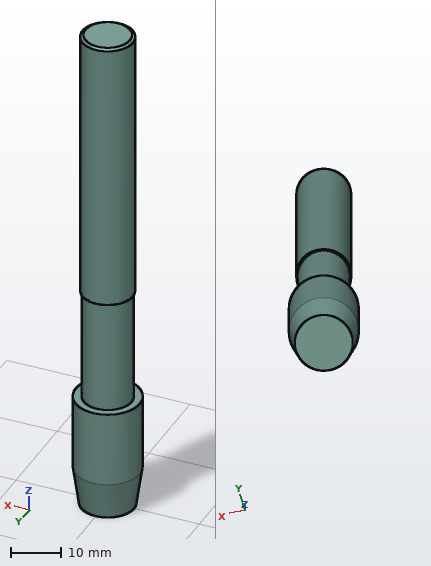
import cadquery as cq

TOTAL_LENGTH = 110.0

HEAD_DIAMETER = 14.0
HEAD_LENGTH = 25.0
LEAD_LENGTH = 8.5
LEAD_TIP_DIAMETER = 11.5

SHANK_DIAMETER = 11.0
SHANK_LENGTH = 60.2
NECK_DIAMETER = 10.5
TOP_CHAMFER_WIDTH = 0.7
TOP_CHAMFER_HEIGHT = 0.4

SHANK_BOTTOM = TOTAL_LENGTH - SHANK_LENGTH


def make_head():
    """Cylinder with a tapered lead at its lower end."""
    radius = HEAD_DIAMETER / 2
    profile = [
        (0, 0),
        (LEAD_TIP_DIAMETER / 2, 0),
        (radius, LEAD_LENGTH),
        (radius, HEAD_LENGTH),
        (0, HEAD_LENGTH),
    ]
    return cq.Workplane("XZ").polyline(profile).close().revolve(360, (0, 0, 0), (0, 1, 0))


def make_shank():
    """Chamfered shank on a slimmer neck that stands on the head."""
    neck_radius = NECK_DIAMETER / 2
    radius = SHANK_DIAMETER / 2
    profile = [
        (0, HEAD_LENGTH),
        (neck_radius, HEAD_LENGTH),
        (neck_radius, SHANK_BOTTOM),
        (radius, SHANK_BOTTOM),
        (radius, TOTAL_LENGTH - TOP_CHAMFER_HEIGHT),
        (radius - TOP_CHAMFER_WIDTH, TOTAL_LENGTH),
        (0, TOTAL_LENGTH),
    ]
    return cq.Workplane("XZ").polyline(profile).close().revolve(360, (0, 0, 0), (0, 1, 0))


head = make_head()
shank = make_shank()
result = cq.Compound.makeCompound([head.val(), shank.val()])